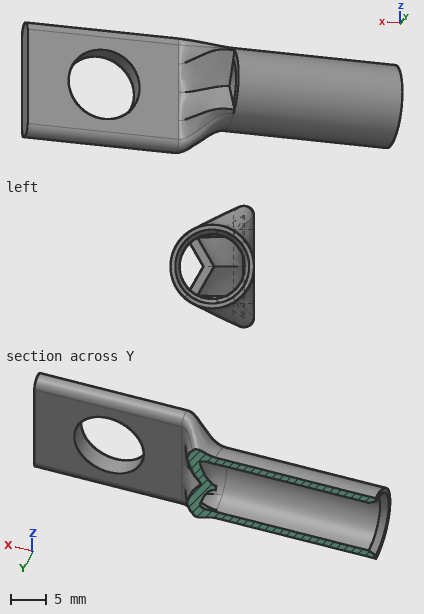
import math

import cadquery as cq


total_length = 52.07
barrel_diameter = 11.71
palm_width = 17.02

barrel_length = 23.9
bore_diameter = 9.1
mouth_diameter = 10.35
mouth_chamfer_depth = 1.05

transition_length = 6.15
palm_thickness = 2.87
bolt_hole_diameter = 10.34
bolt_hole_to_end = 11.15

fold_half_angle = math.radians(30)
outer_apex_y = 1.25
front_angle = math.radians(55)
side_end_y = 3.35
palm_crest_ratio = 0.6
crest_lag = 2.4
side_lag = 1.25
section_count = 7

slit_height = 0.2

barrel_radius = barrel_diameter / 2
bore_radius = bore_diameter / 2
wall = barrel_radius - bore_radius
inner_apex_y = outer_apex_y - wall / math.cos(fold_half_angle)
palm_start = barrel_length + transition_length
palm_length = total_length - palm_start
palm_front_y = -barrel_radius
palm_rear_y = palm_front_y + palm_thickness
palm_middle_y = palm_front_y + palm_thickness / 2


def blend(start, end, amount):
    """Point between start and end, with 0 at start and 1 at end."""
    return tuple(a + (b - a) * amount for a, b in zip(start, end))


def ease(progress):
    """Smooth step that leaves 0 and reaches 1 with no slope."""
    return progress * progress * (3 - 2 * progress)


def mirrored(point):
    return (point[0], -point[1])


def on_circle(radius, angle):
    """Point (y, z) on a circle about the axis, angle measured from -Y towards +Z."""
    return (-radius * math.cos(angle), radius * math.sin(angle))


def crest_angle(radius, apex_y):
    """Angle at which an arm of the V starting at the apex meets the circle."""
    arm_direction = math.pi / 2 + fold_half_angle
    axis_to_arm = apex_y * math.cos(fold_half_angle)
    return arm_direction + math.asin(axis_to_arm / radius)


def folded_profile(radius, apex_y, side_angle):
    """Upper half of a round section with a V pressed into its rear side."""
    return {
        "front": on_circle(radius, 0),
        "corner": on_circle(radius, front_angle),
        "side": on_circle(radius, (front_angle + side_angle) / 2),
        "side_end": on_circle(radius, side_angle),
        "crest": on_circle(radius, crest_angle(radius, apex_y)),
        "apex": (apex_y, 0),
    }


def flat_profile(height):
    """Upper half of a flat section with full-round edges, centred on the palm."""
    half_height = height / 2
    flat_half_width = (palm_width - palm_thickness) / 2
    front = palm_middle_y - half_height
    rear = palm_middle_y + half_height
    return {
        "front": (front, 0),
        "corner": (front, flat_half_width),
        "side": (palm_middle_y, flat_half_width + half_height),
        "side_end": (rear, flat_half_width),
        "crest": (rear, palm_crest_ratio * flat_half_width),
        "apex": (rear, 0),
    }


def draw_section(body, profile, x, front_is_flat):
    """Add the closed section, symmetric about the XY plane, at the given X."""
    lower = {name: mirrored(point) for name, point in profile.items()}
    body = body.workplane(offset=x - body.plane.origin.x).moveTo(*lower["corner"])
    if front_is_flat:
        body = body.lineTo(*profile["corner"])
    else:
        body = body.threePointArc(profile["front"], profile["corner"])
    return (
        body.threePointArc(profile["side"], profile["side_end"])
        .lineTo(*profile["crest"])
        .lineTo(*profile["apex"])
        .lineTo(*lower["crest"])
        .lineTo(*lower["side_end"])
        .threePointArc(lower["side"], lower["corner"])
        .close()
    )


def folded_loft(start, end, lags):
    """Loft from the folded barrel end to the palm, level with both at its ends.

    Points named in lags follow the same path but start to move later.
    """
    body = cq.Workplane("YZ")
    last = section_count - 1
    for index in range(section_count):
        progress = index / last
        amount = ease(progress)
        profile = {
            name: blend(start[name], end[name], amount ** lags.get(name, 1))
            for name in start
        }
        x = barrel_length + progress * transition_length
        body = draw_section(body, profile, x, front_is_flat=index == last)
    return body.loft(ruled=False, combine=True)


def make_barrel():
    return cq.Workplane("YZ").circle(barrel_radius).extrude(barrel_length)


def make_bore():
    """Bore of the barrel with its tapered mouth."""
    bore = cq.Workplane("YZ").circle(bore_radius).extrude(barrel_length)
    mouth = (
        cq.Workplane("YZ")
        .circle(mouth_diameter / 2)
        .workplane(offset=mouth_chamfer_depth)
        .circle(bore_radius)
        .loft()
    )
    return bore.union(mouth)


def make_transition():
    side_angle = math.acos(-side_end_y / barrel_radius)
    start = folded_profile(barrel_radius, outer_apex_y, side_angle)
    lags = {"crest": crest_lag, "side_end": side_lag}
    return folded_loft(start, flat_profile(palm_thickness), lags)


def make_cavity():
    """Hollow inside the transition, closing to a thin slit at the palm."""
    side_angle = (front_angle + crest_angle(bore_radius, inner_apex_y)) / 2
    start = folded_profile(bore_radius, inner_apex_y, side_angle)
    return folded_loft(start, flat_profile(slit_height), {})


def make_palm():
    """Flat palm with full-round long edges and a bolt hole."""
    palm = (
        cq.Workplane("YZ", origin=(palm_start, palm_middle_y, 0))
        .slot2D(palm_width, palm_thickness, 90)
        .extrude(palm_length)
    )
    hole = (
        cq.Workplane("XZ", origin=(total_length - bolt_hole_to_end, palm_rear_y, 0))
        .circle(bolt_hole_diameter / 2)
        .extrude(palm_thickness)
    )
    return palm.cut(hole)


outer = make_barrel().union(make_transition()).union(make_palm())
result = outer.cut(make_bore()).cut(make_cavity())